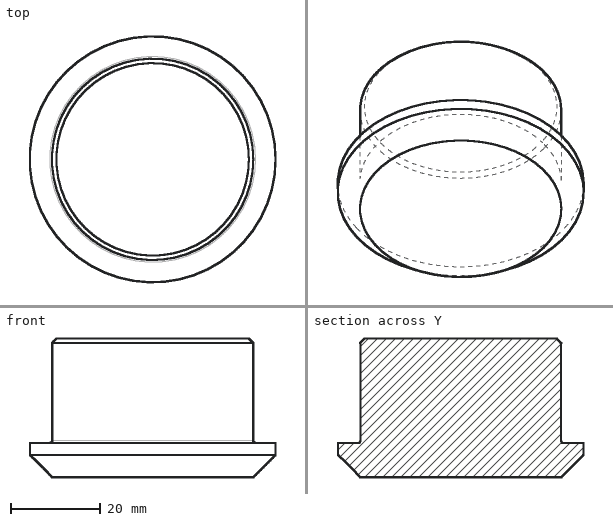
import cadquery as cq

flange_diameter = 55.0
boss_diameter = 45.0
total_height = 31.0
flange_height = 7.7
flange_bevel = 5.0
boss_chamfer = 1.0
root_fillet = 0.5

flange_radius = flange_diameter / 2
boss_radius = boss_diameter / 2

half_section = (
    cq.Workplane("XZ")
    .lineTo(flange_radius - flange_bevel, 0)
    .lineTo(flange_radius, flange_bevel)
    .lineTo(flange_radius, flange_height)
    .lineTo(boss_radius + root_fillet, flange_height)
    .radiusArc((boss_radius, flange_height + root_fillet), root_fillet)
    .lineTo(boss_radius, total_height - boss_chamfer)
    .lineTo(boss_radius - boss_chamfer, total_height)
    .lineTo(0, total_height)
    .close()
)

result = half_section.revolve(360, (0, 0, 0), (0, 1, 0))